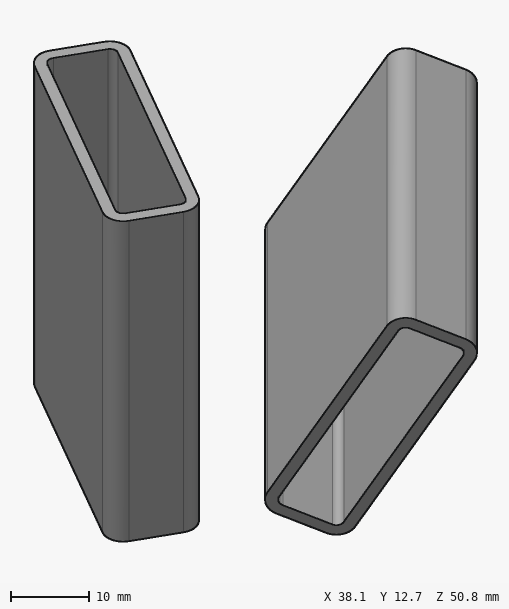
import cadquery as cq

width = 38.1
depth = 12.7
height = 50.8
wall = 1.7
outer_radius = 2.75
inner_radius = outer_radius - wall


def rounded_bar(size_x, size_y, corner_radius):
    """Full-height bar with rounded vertical edges."""
    return cq.Workplane("XY").box(size_x, size_y, height).edges("|Z").fillet(corner_radius)


outer_body = rounded_bar(width, depth, outer_radius)
bore = rounded_bar(width - 2 * wall, depth - 2 * wall, inner_radius)

result = outer_body.cut(bore)